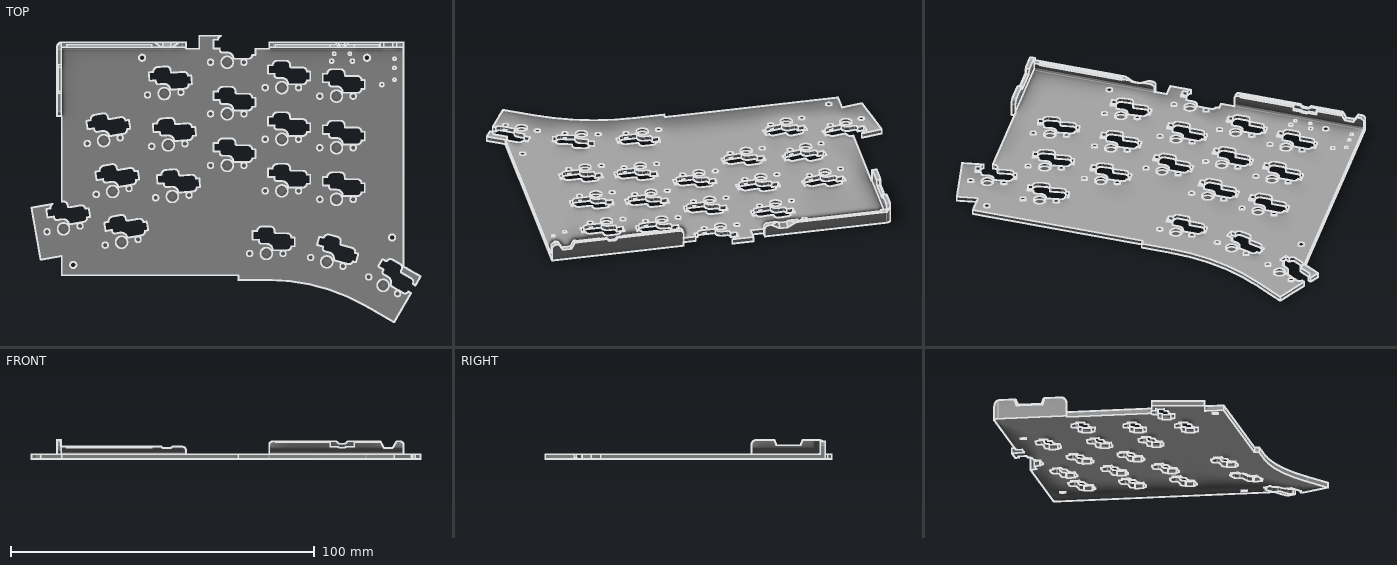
import cadquery as cq
import math


plate_thickness = 1.7
plate_left = -54.2
plate_right = 58.55
plate_rear = 43.0
plate_front = -31.75
thumb_arc_radius = 64.0

key_pitch_y = 17.0
tile_width = 18.5
tile_depth = 17.5
inner_tilt = 4.5
outer_tilt = 10.0
top_key = (0.4, 38.48, 0.0)
pinky_key = (-53.53, -16.42, outer_tilt)
first_thumb_key = (13.3, -24.55, 0.0)
second_thumb_key = (33.2, -27.3, -15.0)
last_thumb_key = (51.77, -35.03, -30.0)
column_rear_keys = [
    top_key,
    (18.4, 30.1, 0.0),
    (36.4, 27.3, 0.0),
    (-20.35, 28.15, inner_tilt),
    (-40.3, 12.65, outer_tilt),
]
keys_per_column = 3

blind_depth = 1.2
stem_diameter = 3.9
pin_diameter = 1.9
pin_offset = 5.5
small_hole_diameter = 1.0
jack_hole_diameter = 1.3
small_holes = [(35.64, 41.26), (40.83, 41.26), (55.52, 39.6), (55.52, 36.6), (55.52, 32.7)]
jack_holes = [(34.8, 38.85), (41.65, 38.85), (51.35, 31.11)]

mount_hole_diameter = 2.0
mount_holes = [(-27.65, 39.96), (46.45, 39.96), (54.75, -19.27), (-50.33, -28.3)]

wall_rear = 45.1
wall_inner_y = 43.4
wall_left = -55.75
wall_inner_x = -54.35
wall_corner_radius = 1.7
base_fillet = wall_inner_y - plate_rear
end_round = 1.3

side_wall_front = 20.7
side_wall_height = 6.39
side_front_round = 1.7
side_rear_round = 2.3
side_notch_floor = 4.65
side_notch_top = (28.3, 37.6)
side_notch_bottom = (29.0, 36.9)
side_notch_bevel = 0.45

left_wall_end = -13.15
left_wall_height = 4.2
left_notch_floor = 3.75
left_notch_top = (-21.4, -17.6)
left_notch_bottom = (-20.8, -18.2)
left_notch_flare = 2.2
left_notch_fall = 1.2

right_wall_start = 14.2
right_wall_height = 5.95
round_notch_floor = 3.75
round_notch_top = (50.9, 56.2)
round_notch_bottom = (52.0, 54.9)
plug_notch_floor = 5.1
plug_notch_top = (36.4, 40.1)
plug_notch_bottom = (37.2, 39.2)
plug_recess = (34.35, 42.25)
plug_recess_floor = 4.1
plug_dip_top = (36.9, 39.5)
plug_dip_bottom = (37.4, 39.0)
plug_dip_floor = 3.75

ledge_y = 44.3
ledge_drop = 0.4
left_ledge = (-52.5, -24.4)
right_ledges = [(16.2, plug_recess[0]), (plug_recess[1], 50.5)]


def rotated(x, y, degrees):
    angle = math.radians(degrees)
    return (x * math.cos(angle) - y * math.sin(angle), x * math.sin(angle) + y * math.cos(angle))


def on_key(key, x, y):
    """Plate position of a point given in a key's own frame."""
    dx, dy = rotated(x, y, key[2])
    return (key[0] + dx, key[1] + dy)


def all_keys():
    keys = [pinky_key, first_thumb_key, second_thumb_key, last_thumb_key]
    for rear_key in column_rear_keys:
        for row in range(keys_per_column):
            x, y = on_key(rear_key, 0, -row * key_pitch_y)
            keys.append((x, y, rear_key[2]))
    return keys


def box(x_range, y_range, z_range):
    size = [high - low for low, high in (x_range, y_range, z_range)]
    corner = (x_range[0], y_range[0], z_range[0])
    return cq.Workplane("XY").box(*size, centered=False).translate(corner)


def key_tile(key):
    tile = cq.Workplane("XY").rect(tile_width, tile_depth).extrude(plate_thickness)
    return tile.rotate((0, 0, 0), (0, 0, 1), key[2]).translate((key[0], key[1], 0))


def thumb_area():
    """Piece under the thumb keys, from the first tile's front edge round to the last tile."""
    left = first_thumb_key[0] - tile_width / 2
    front = first_thumb_key[1] - tile_depth / 2
    tip = on_key(last_thumb_key, tile_width / 2, -tile_depth / 2)
    side = on_key(last_thumb_key, tile_width / 2, tile_depth / 2)
    inside = on_key(last_thumb_key, -tile_width / 2, tile_depth / 2)
    turn = -last_thumb_key[2]
    bend_x = tip[0] - (front - tip[1]) / math.tan(math.radians(turn))
    tangent_length = thumb_arc_radius * math.tan(math.radians(turn / 2))
    arc_start = (bend_x - tangent_length, front)
    arc_centre = (arc_start[0], front - thumb_arc_radius)
    mid_dx, mid_dy = rotated(0, thumb_arc_radius, -turn / 2)
    end_dx, end_dy = rotated(0, thumb_arc_radius, -turn)
    return (
        cq.Workplane("XY")
        .moveTo(left, front)
        .lineTo(*arc_start)
        .threePointArc(
            (arc_centre[0] + mid_dx, arc_centre[1] + mid_dy),
            (arc_centre[0] + end_dx, arc_centre[1] + end_dy),
        )
        .lineTo(*tip)
        .lineTo(*side)
        .lineTo(*inside)
        .lineTo(left, first_thumb_key[1])
        .close()
        .extrude(plate_thickness)
    )


def plate():
    body = box((plate_left, plate_right), (plate_front, plate_rear), (0, plate_thickness))
    return body.union(key_tile(top_key)).union(key_tile(pinky_key)).union(thumb_area())


def along_rear(x_top, x_bottom, z_bottom, z_top, y_range):
    """Prism through a rear wall with a trapezoid section in X and Z."""
    section = [(x_bottom[0], z_bottom), (x_bottom[1], z_bottom), (x_top[1], z_top), (x_top[0], z_top)]
    prism = cq.Workplane("XZ").polyline(section).close().extrude(-(y_range[1] - y_range[0]))
    return prism.translate((0, y_range[0], 0))


def ledge(x_range, wall_height):
    return box(x_range, (wall_inner_y, ledge_y), (wall_height - ledge_drop, wall_height))


def base_strip_rear(x_range):
    """Concave fillet strip between the plate top and a rear wall."""
    strip = box(
        x_range,
        (plate_rear, wall_inner_y),
        (0, plate_thickness + base_fillet),
    )
    groove = cq.Workplane("YZ").circle(base_fillet).extrude(x_range[1] - x_range[0])
    return strip.cut(groove.translate((x_range[0], plate_rear, plate_thickness + base_fillet)))


def left_notch():
    """Notch whose sides and floor flare from the inner face to the outer face."""

    def section(flare, fall):
        return [
            (left_notch_bottom[0], left_notch_floor - fall),
            (left_notch_bottom[1], left_notch_floor - fall),
            (left_notch_top[1] + flare, left_wall_height),
            (left_notch_top[0] - flare, left_wall_height),
        ]

    return (
        cq.Workplane("XZ", origin=(0, wall_inner_y, 0))
        .polyline(section(0, 0))
        .close()
        .workplane(offset=wall_inner_y - wall_rear)
        .polyline(section(left_notch_flare, left_notch_fall))
        .close()
        .loft(ruled=True)
    )


def left_rear_wall():
    whole_y = (wall_inner_y, wall_rear)
    wall = box((wall_left, left_wall_end), whole_y, (0, left_wall_height))
    wall = wall.edges("|Y and >X and >Z").fillet(end_round)
    wall = wall.cut(left_notch())
    return wall.cut(ledge(left_ledge, left_wall_height))


def side_notch():
    """Notch through the side wall, bevelled on the outer face."""

    def section(grow):
        return [
            (side_notch_bottom[0] - grow, side_notch_floor - grow),
            (side_notch_bottom[1] + grow, side_notch_floor - grow),
            (side_notch_top[1] + grow, side_wall_height),
            (side_notch_top[0] - grow, side_wall_height),
        ]

    through = (
        cq.Workplane("YZ", origin=(wall_left, 0, 0))
        .polyline(section(0))
        .close()
        .extrude(wall_inner_x - wall_left)
    )
    bevel = (
        cq.Workplane("YZ", origin=(wall_left, 0, 0))
        .polyline(section(side_notch_bevel))
        .close()
        .workplane(offset=side_notch_bevel)
        .polyline(section(0))
        .close()
        .loft(ruled=True)
    )
    return through.union(bevel)


def side_wall():
    wall = box((wall_left, wall_inner_x), (side_wall_front, wall_rear), (0, side_wall_height))
    wall = wall.edges("|X and >Z and <Y").fillet(side_front_round)
    wall = wall.edges("|X and >Y and >Z").fillet(side_rear_round)
    wall = wall.cut(side_notch())
    root = box((wall_inner_x, plate_left), (side_wall_front, wall_rear), (0, plate_thickness))
    return wall.union(root)


def right_rear_wall():
    whole_y = (wall_inner_y, wall_rear)
    inner_y = (wall_inner_y, ledge_y)
    wall = box((right_wall_start, plate_right), whole_y, (0, right_wall_height))
    wall = wall.edges("|Y and >Z").fillet(end_round)
    wall = wall.cut(
        along_rear(round_notch_top, round_notch_bottom, round_notch_floor, right_wall_height, whole_y)
    )
    wall = wall.cut(
        along_rear(plug_notch_top, plug_notch_bottom, plug_notch_floor, right_wall_height, whole_y)
    )
    wall = wall.cut(box(plug_recess, inner_y, (plug_recess_floor, right_wall_height)))
    wall = wall.cut(
        along_rear(plug_dip_top, plug_dip_bottom, plug_dip_floor, plug_recess_floor, inner_y)
    )
    for x_range in right_ledges:
        wall = wall.cut(ledge(x_range, right_wall_height))
    return wall


def walls():
    left_corner = left_rear_wall().union(side_wall())
    left_corner = left_corner.intersect(
        box((wall_left, left_wall_end), (side_wall_front, wall_rear), (0, side_wall_height))
        .edges("|Z and <X and >Y")
        .fillet(wall_corner_radius)
    )
    left_corner = left_corner.union(base_strip_rear((wall_inner_x, left_wall_end)))
    return left_corner.union(right_rear_wall()).union(base_strip_rear((right_wall_start, plate_right)))


def socket_cutter():
    """Opening for a key's switch socket, in the key's own frame, clockwise from the left tab."""
    tab_left = -4.5
    tab_right = 9.3
    left_tab_y = (4.6, 7.35)
    right_tab_y = (2.4, 5.25)
    rear_y = 8.85
    step_y = 6.6
    front_y = 1.15
    step_x = 2.65
    left_x = -2.4
    right_x = 8.2
    neck_radius = 2.1
    rear_left_x = -3.0
    rear_left_radius = rear_y - left_tab_y[1]
    corner_radius = 1.3
    inner_radius = 0.6
    front_radius = right_tab_y[0] - front_y
    left_radius = 0.8

    outline = cq.Workplane("XY").moveTo(tab_left, left_tab_y[0]).lineTo(tab_left, left_tab_y[1])
    outline = outline.lineTo(rear_left_x, left_tab_y[1])
    outline = outline.radiusArc((rear_left_x + rear_left_radius, rear_y), rear_left_radius)
    outline = outline.lineTo(step_x - corner_radius, rear_y)
    outline = outline.radiusArc((step_x, rear_y - corner_radius), corner_radius)
    outline = outline.lineTo(step_x, step_y + inner_radius)
    outline = outline.radiusArc((step_x + inner_radius, step_y), -inner_radius)
    outline = outline.lineTo(right_x - corner_radius, step_y)
    outline = outline.radiusArc((right_x, step_y - corner_radius), corner_radius)
    outline = outline.lineTo(right_x, right_tab_y[1])
    outline = outline.lineTo(tab_right, right_tab_y[1])
    outline = outline.lineTo(tab_right, right_tab_y[0])
    outline = outline.lineTo(right_x, right_tab_y[0])
    outline = outline.radiusArc((right_x - front_radius, front_y), front_radius)
    outline = outline.lineTo(neck_radius, front_y)
    outline = outline.radiusArc((0, front_y + neck_radius), -neck_radius)
    outline = outline.lineTo(left_x + left_radius, front_y + neck_radius)
    outline = outline.radiusArc((left_x, front_y + neck_radius + left_radius), left_radius)
    outline = outline.lineTo(left_x, left_tab_y[0])
    return outline.close().extrude(plate_thickness)


def holes(points, diameter, depth):
    bottom = plate_thickness - depth
    return cq.Workplane("XY", origin=(0, 0, bottom)).pushPoints(points).circle(diameter / 2).extrude(depth)


def cut_keys(body):
    keys = all_keys()
    cutter = socket_cutter()
    for key in keys:
        body = body.cut(cutter.rotate((0, 0, 0), (0, 0, 1), key[2]).translate((key[0], key[1], 0)))
    stems = [on_key(key, 0, 0) for key in keys]
    pins = [on_key(key, side * pin_offset, 0) for key in keys for side in (-1, 1)]
    body = body.cut(holes(stems, stem_diameter, blind_depth))
    return body.cut(holes(pins, pin_diameter, blind_depth))


def cut_small_holes(body):
    body = body.cut(holes(small_holes, small_hole_diameter, blind_depth))
    body = body.cut(holes(jack_holes, jack_hole_diameter, blind_depth))
    return body.cut(holes(mount_holes, mount_hole_diameter, plate_thickness))


def largest_solid(body):
    """Drops the slivers that the openings cut free at the edge of the plate."""
    return max(body.val().Solids(), key=lambda solid: solid.Volume())


keyboard_plate = cut_small_holes(cut_keys(plate().union(walls())))
result = cq.Workplane("XY").newObject([largest_solid(keyboard_plate)])